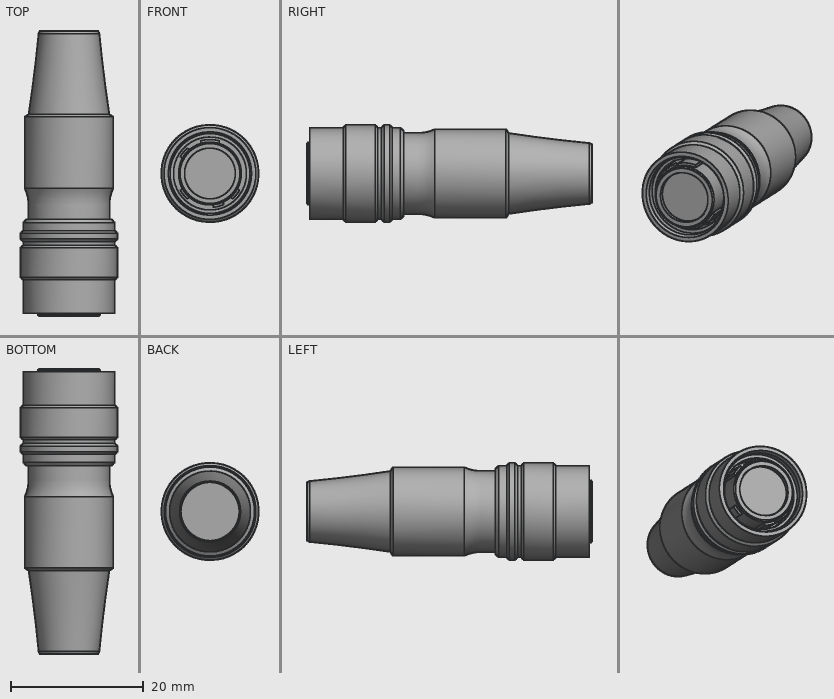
import cadquery as cq
import math

total_length = 43.0

sleeve_front = 0.45
sleeve_radius = 6.92
grip_radius = 7.35
grip_chamfer = grip_radius - sleeve_radius
groove_front = 10.7
groove_back = 11.22
rib_back = 12.9
sleeve_back = 14.6
sleeve_back_chamfer_length = 0.55
sleeve_back_chamfer_depth = 0.47
grip_front = 5.45

neck_radius = 6.15
neck_end = 16.95
body_radius = 6.7
flare_end = 19.3
body_end = 30.0
shoulder_length = 0.4
boot_base_radius = 6.1
boot_sag = 0.1
boot_tip_radius = 4.6
boot_tip_chamfer_length = 0.45
boot_tip_chamfer_depth = 0.2

mouth_radius = 6.28
bore_radius = 6.0
bore_taper_length = 0.65
step_radius = 5.5
step_depth = 1.85
socket_depth = 5.15

insert_radius = 4.75
insert_chamfer = 0.2
recess_radius = 3.83
recess_depth = 0.85
key_front = 1.08
key_radius = 5.1
keys = [(90, 2.8), (141, 1.65), (219, 1.65), (285, 1.65), (321, 1.65)]


def revolve_profile(wire):
    return wire.close().revolve(360, (0, 0, 0), (0, 1, 0))


def make_disc(front, depth, radius):
    return cq.Workplane("XZ", origin=(0, front, 0)).circle(radius).extrude(-depth)


def make_shell():
    """Outer surface of the sleeve, backshell and boot."""
    boot_start = body_end + shoulder_length
    boot_end = total_length - boot_tip_chamfer_length
    boot_mid_radius = (boot_base_radius + boot_tip_radius) / 2 - boot_sag
    flare_length = flare_end - neck_end
    flare_rise = body_radius - neck_radius
    flare_arc_radius = (flare_length**2 + flare_rise**2) / (2 * flare_rise)
    half_angle = math.asin(flare_length / flare_arc_radius) / 2
    flare_mid = (
        neck_radius + flare_arc_radius * (1 - math.cos(half_angle)),
        neck_end + flare_arc_radius * math.sin(half_angle),
    )
    profile = (
        cq.Workplane("XY")
        .moveTo(0, sleeve_front)
        .lineTo(sleeve_radius, sleeve_front)
        .lineTo(sleeve_radius, grip_front)
        .lineTo(grip_radius, grip_front + grip_chamfer)
        .lineTo(grip_radius, groove_front - grip_chamfer)
        .lineTo(sleeve_radius, groove_front)
        .lineTo(sleeve_radius, groove_back)
        .lineTo(grip_radius, groove_back + grip_chamfer)
        .lineTo(grip_radius, rib_back - grip_chamfer)
        .lineTo(sleeve_radius, rib_back)
        .lineTo(sleeve_radius, sleeve_back - sleeve_back_chamfer_length)
        .lineTo(sleeve_radius - sleeve_back_chamfer_depth, sleeve_back)
        .lineTo(neck_radius, sleeve_back)
        .lineTo(neck_radius, neck_end)
        .threePointArc(flare_mid, (body_radius, flare_end))
        .lineTo(body_radius, body_end)
        .lineTo(boot_base_radius, boot_start)
        .threePointArc((boot_mid_radius, (boot_start + boot_end) / 2), (boot_tip_radius, boot_end))
        .lineTo(boot_tip_radius - boot_tip_chamfer_depth, total_length)
        .lineTo(0, total_length)
    )
    return revolve_profile(profile)


def make_socket():
    """Tapered mouth, bore and inner step around the insert."""
    profile = (
        cq.Workplane("XY")
        .moveTo(0, sleeve_front)
        .lineTo(mouth_radius, sleeve_front)
        .lineTo(bore_radius, sleeve_front + bore_taper_length)
        .lineTo(bore_radius, sleeve_front + step_depth)
        .lineTo(step_radius, sleeve_front + step_depth)
        .lineTo(step_radius, sleeve_front + socket_depth)
        .lineTo(0, sleeve_front + socket_depth)
    )
    return revolve_profile(profile)


def make_insert():
    """Chamfered round insert with a shallow recess and polarising keys."""
    floor = sleeve_front + socket_depth
    insert = make_disc(0, floor, insert_radius).faces("<Y").edges().chamfer(insert_chamfer)
    key_length = floor - key_front
    key_envelope = make_disc(key_front, key_length, key_radius)
    for angle, width in keys:
        bar = (
            cq.Workplane("XY")
            .box(insert_radius * 2, key_length, width, centered=(False, False, True))
            .translate((0, key_front, 0))
            .rotate((0, 0, 0), (0, 1, 0), -angle)
        )
        insert = insert.union(bar.intersect(key_envelope))
    return insert.cut(make_disc(0, recess_depth, recess_radius))


result = make_shell().cut(make_socket()).union(make_insert())